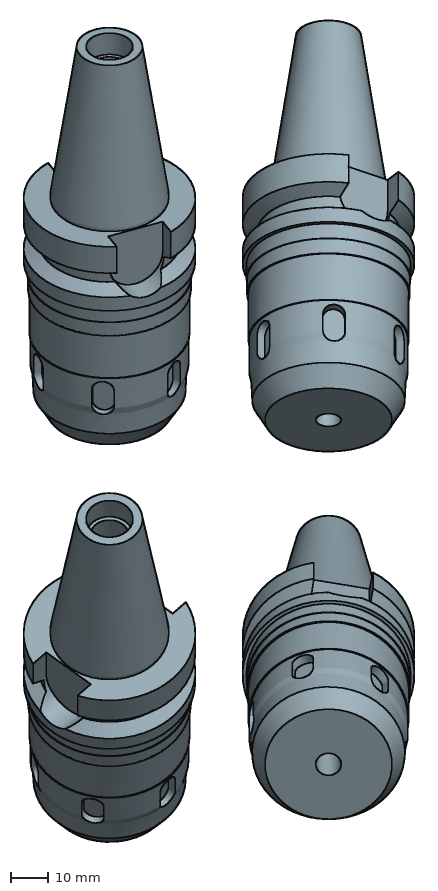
import cadquery as cq
import math

shank_length = 48.4
body_length = 70.0

gauge_radius = 31.75 / 2
taper_ratio = 7 / 24
shank_tip_radius = gauge_radius - shank_length * taper_ratio / 2

flange_radius = 46.0 / 2
flange_top = -1.0
flange_bottom = -22.0
groove_center = -13.6
groove_neck_radius = 38.2 / 2
groove_neck_height = 3.4
groove_flank_angle = 30.0
groove_flank_height = (flange_radius - groove_neck_radius) * math.tan(math.radians(groove_flank_angle))
groove_floor_top = groove_center + groove_neck_height / 2
groove_floor_bottom = groove_center - groove_neck_height / 2

collar_radius = 22.0
collar_step = -26.5
lower_collar_radius = 21.85
collar_bottom = -31.0
sleeve_radius = 21.5
sleeve_bottom = -45.2

ring_radius = 21.25
ring_bottom = -55.1
nose_top_radius = 20.75
nose_top = -57.3
nose_bottom_radius = 20.45
nose_bottom = -64.0
end_radius = 17.0

keyway_width = 16.1
keyway_floor = 16.3
keyway_bottom = -18.9

slot_count = 6
slot_first_angle = -90.0
slot_width = 6.0
slot_length = 11.0
slot_center = -52.0
slot_floor = 18.6

mouth_radius = 6.25
mouth_depth = 7.0
thread_radius = 5.1
thread_depth = 24.0
through_radius = 3.4


def body():
    """Solid of revolution for the shank, flange, sleeve and nut."""
    half_profile = [
        (0, shank_length),
        (shank_tip_radius, shank_length),
        (gauge_radius, 0),
        (gauge_radius, flange_top),
        (flange_radius, flange_top),
        (flange_radius, groove_floor_top + groove_flank_height),
        (groove_neck_radius, groove_floor_top),
        (groove_neck_radius, groove_floor_bottom),
        (flange_radius, groove_floor_bottom - groove_flank_height),
        (flange_radius, flange_bottom),
        (collar_radius, flange_bottom),
        (collar_radius, collar_step),
        (lower_collar_radius, collar_step),
        (lower_collar_radius, collar_bottom),
        (sleeve_radius, collar_bottom),
        (sleeve_radius, sleeve_bottom),
        (ring_radius, sleeve_bottom),
        (ring_radius, ring_bottom),
        (nose_top_radius, nose_top),
        (nose_bottom_radius, nose_bottom),
        (end_radius, -body_length),
        (0, -body_length),
    ]
    return cq.Workplane("XZ").polyline(half_profile).close().revolve(360, (0, 0, 0), (0, 1, 0))


def keyway():
    """Cutter for the +X keyway: open at the flange top, round at its lower end."""
    half_width = keyway_width / 2
    arc_center = keyway_bottom + half_width
    return (
        cq.Workplane("YZ", origin=(keyway_floor, 0, 0))
        .moveTo(-half_width, flange_top)
        .lineTo(-half_width, arc_center)
        .threePointArc((0, keyway_bottom), (half_width, arc_center))
        .lineTo(half_width, flange_top)
        .close()
        .extrude(flange_radius)
    )


def spanner_slot():
    """Cutter for one flat-floored upright slot on the +X side of the nut."""
    return (
        cq.Workplane("YZ", origin=(slot_floor, 0, slot_center))
        .slot2D(slot_length, slot_width, 90)
        .extrude(flange_radius)
    )


def bore(radius, depth):
    """Cutter for a round bore sunk from the shank tip."""
    return cq.Workplane("XY", origin=(0, 0, shank_length)).circle(radius).extrude(-depth)


def about_axis(cutter, angle):
    return cutter.rotate((0, 0, 0), (0, 0, 1), angle)


result = body()

for angle in (0, 180):
    result = result.cut(about_axis(keyway(), angle))

for index in range(slot_count):
    angle = slot_first_angle + index * 360 / slot_count
    result = result.cut(about_axis(spanner_slot(), angle))

result = result.cut(bore(mouth_radius, mouth_depth))
result = result.cut(bore(thread_radius, thread_depth))
result = result.cut(bore(through_radius, shank_length + body_length))